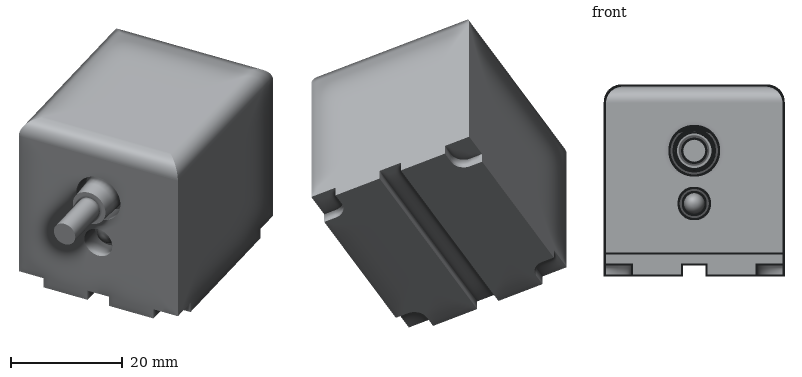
import cadquery as cq

width = 32.0
overall_length = 50.15
body_length = 37.0
overall_height = 34.0

base_height = 3.95
foot_height = 1.95
corner_notch = 4.9
corner_notch_radius = 2.5
groove_width = 4.3

cover_height = overall_height - base_height
top_round = 3.1
recess_depth = 4.0

cable_z = 22.3
cable_recess_diameter = 8.9
cable_diameter = 4.3
grommet_tip_diameter = 6.55
grommet_root_diameter = 7.35
grommet_projection = 3.6
cable_projection = overall_length - body_length

lamp_z = 12.9
lamp_recess_diameter = 5.6
lamp_diameter = 4.1

core_z = 16.85
core_front_diameter = 18.5
core_rear_diameter = 19.15
core_step_depth = 0.25


def cylinder_along_y(diameter, y_start, y_end, z):
    """Cylinder parallel to Y from y_start to y_end, centred at X = 0 and height z."""
    start_plane = cq.Workplane("XZ", origin=(0, y_start, z))
    return start_plane.circle(diameter / 2).extrude(y_start - y_end)


def block(size_x, size_y, height, z_bottom):
    """Block centred in X, starting at the front face."""
    bottom_plane = cq.Workplane("XY", origin=(0, 0, z_bottom))
    return bottom_plane.box(size_x, size_y, height, centered=(True, False, False))


def make_base():
    """Base plate with a lengthwise groove and a round-cornered notch under each corner."""
    base = block(width, body_length, base_height, 0)
    base = base.cut(block(groove_width, body_length, foot_height, 0))
    corners = (
        cq.Workplane("XY", origin=(0, body_length / 2, 0))
        .rect(width, body_length, forConstruction=True)
        .vertices()
    )
    notches = corners.rect(2 * corner_notch, 2 * corner_notch).extrude(foot_height)
    return base.cut(notches.edges("|Z").fillet(corner_notch_radius))


def make_stepped_core():
    """Two coaxial discs, the wider one a step behind, and the Y of their back face."""
    y_back = recess_depth + 2 * core_step_depth
    front_disc = cylinder_along_y(core_front_diameter, recess_depth, y_back, core_z)
    rear_disc = cylinder_along_y(core_rear_diameter, recess_depth + core_step_depth, y_back, core_z)
    return front_disc.union(rear_disc), y_back


def make_cover():
    """Cover with a rounded top, a lamp recess and a cable recess that ends on the stepped core."""
    cover = block(width, body_length, cover_height, base_height)
    cover = cover.faces(">Z").edges().fillet(top_round)
    core, y_back = make_stepped_core()
    cable_recess = cylinder_along_y(cable_recess_diameter, 0, y_back, cable_z).cut(core)
    lamp_recess = cylinder_along_y(lamp_recess_diameter, 0, recess_depth, lamp_z)
    return cover.cut(cable_recess).cut(lamp_recess)


def make_grommet():
    """Tapered grommet on the recess floor, bored for the cable."""
    floor_plane = cq.Workplane("XZ", origin=(0, recess_depth, cable_z))
    grommet = (
        floor_plane.circle(grommet_root_diameter / 2)
        .workplane(offset=recess_depth + grommet_projection)
        .circle(grommet_tip_diameter / 2)
        .loft(ruled=True)
    )
    return grommet.cut(make_cable())


def make_cable():
    """Round cable from the recess floor out through the grommet."""
    return cylinder_along_y(cable_diameter, -cable_projection, recess_depth, cable_z)


def make_lamp():
    """Hemispherical lamp standing on the floor of its recess."""
    lamp_centre = cq.Workplane("XY", origin=(0, recess_depth, lamp_z))
    return lamp_centre.sphere(lamp_diameter / 2, direct=(0, -1, 0), angle1=0, angle2=90)


base = make_base()
cover = make_cover()
grommet = make_grommet()
cable = make_cable()
lamp = make_lamp()

result = cq.Compound.makeCompound([base.val(), cover.val(), grommet.val(), cable.val(), lamp.val()])